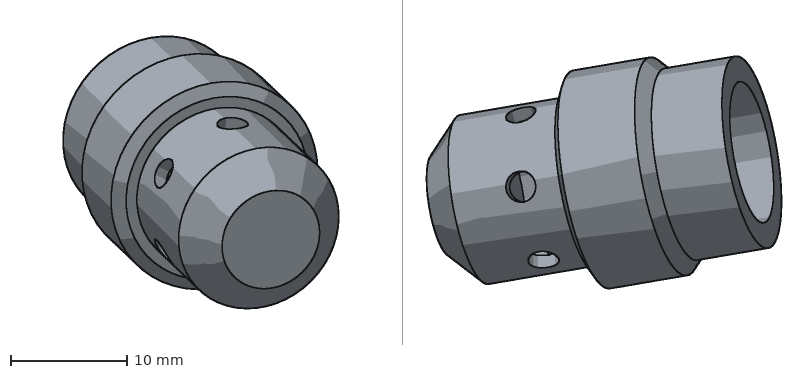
import cadquery as cq

total_length = 27.95
inlet_diameter = 16.76
collar_diameter = 19.05
outlet_diameter = 14.78
tip_diameter = 9.0

inlet_length = 6.37
collar_end = 15.1
collar_back_chamfer_length = 0.65

bore_diameter = 12.32
end_wall_thickness = 5.6

hole_count = 6
hole_diameter = 2.65
hole_position = 18.8

inlet_radius = inlet_diameter / 2
collar_radius = collar_diameter / 2
outlet_radius = outlet_diameter / 2
tip_radius = tip_diameter / 2

collar_end_radius = inlet_radius

front_shoulder_length = collar_radius - inlet_radius
tip_cone_length = outlet_radius - tip_radius
bore_depth = total_length - end_wall_thickness


def make_body():
    """Stepped outer shape, revolved about the X axis."""
    half_profile = [
        (0, 0),
        (0, inlet_radius),
        (inlet_length, inlet_radius),
        (inlet_length + front_shoulder_length, collar_radius),
        (collar_end - collar_back_chamfer_length, collar_radius),
        (collar_end, collar_end_radius),
        (collar_end, outlet_radius),
        (total_length - tip_cone_length, outlet_radius),
        (total_length, tip_radius),
        (total_length, 0),
    ]
    profile = cq.Workplane("XY").polyline(half_profile).close()
    return profile.revolve(360, (0, 0, 0), (1, 0, 0))


def make_bore():
    """Flat-bottomed bore entering from the inlet face."""
    return cq.Workplane("YZ").circle(bore_diameter / 2).extrude(bore_depth)


def make_radial_holes():
    """Evenly spaced radial hole cutters, the first one pointing along +Z."""
    first_hole = (
        cq.Workplane("XY")
        .center(hole_position, 0)
        .circle(hole_diameter / 2)
        .extrude(collar_radius)
    )
    holes = cq.Workplane("XY")
    for index in range(hole_count):
        angle = index * 360 / hole_count
        holes = holes.add(first_hole.rotate((0, 0, 0), (1, 0, 0), angle))
    return holes.combine()


result = make_body().cut(make_bore()).cut(make_radial_holes())